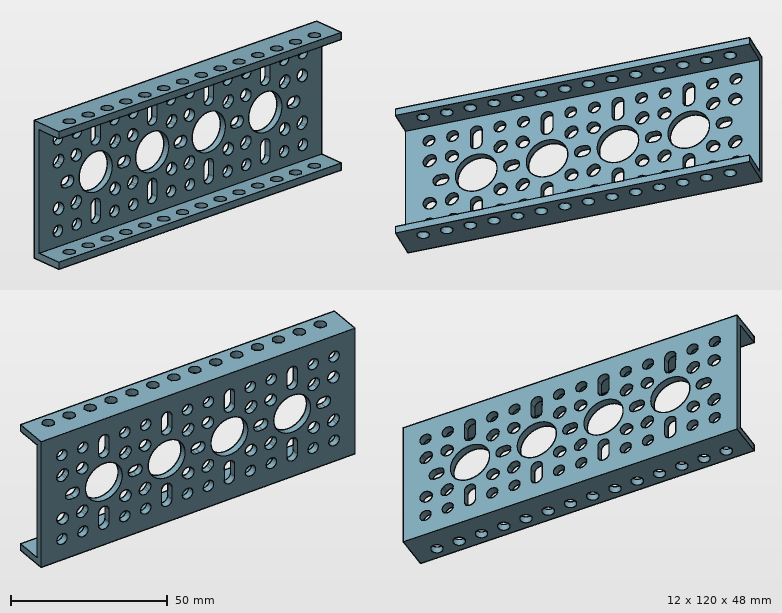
import cadquery as cq
import math

length = 120.0
height = 48.0
depth = 12.0
wall = 2.5

grid_pitch = length / 15
hole_diameter = 4.0
bore_diameter = 14.0
bore_count = 4
flange_hole_count = 14
bore_pitch = 3 * grid_pitch
outer_row = 2 * grid_pitch

corner_circle_radius = grid_pitch * math.sqrt(2)
bolt_circle_offset = bore_pitch / 2 / math.sqrt(2)

bore_positions = [(i - (bore_count - 1) / 2) * bore_pitch for i in range(bore_count)]
gap_positions = [(i - bore_count / 2) * bore_pitch for i in range(bore_count + 1)]
flange_hole_positions = [(i - (flange_hole_count - 1) / 2) * grid_pitch for i in range(flange_hole_count)]


def web_cylinder(y, z, diameter):
    """Cylinder along X that passes through the web."""
    return cq.Workplane("YZ").center(y, z).circle(diameter / 2).extrude(wall)


def web_slot(start, end):
    """Round-ended slot through the web between two (y, z) end centres."""
    run_y = end[0] - start[0]
    run_z = end[1] - start[1]
    distance = math.hypot(run_y, run_z)
    angle = math.degrees(math.atan2(run_z, run_y))
    return (
        cq.Workplane("YZ")
        .center((start[0] + end[0]) / 2, (start[1] + end[1]) / 2)
        .slot2D(distance + hole_diameter, hole_diameter, angle)
        .extrude(wall)
    )


def channel():
    """Plain U-shaped profile centred on Y and Z, web outer face at X = 0."""
    outside = cq.Workplane("XY").box(depth, length, height, centered=(False, True, True))
    inside = (
        cq.Workplane("XY")
        .box(depth - wall, length, height - 2 * wall, centered=(False, True, True))
        .translate((wall, 0, 0))
    )
    return outside.cut(inside)


def bore_cutters():
    """Large bores, each with a vertical slot above and below."""
    cutters = []
    for y in bore_positions:
        cutters.append(web_cylinder(y, 0, bore_diameter))
        for side in (-1, 1):
            cutters.append(web_slot((y, side * corner_circle_radius), (y, side * outer_row)))
    return cutters


def gap_cutters():
    """Short horizontal slots midway between bores and beyond the end bores."""
    reach = corner_circle_radius - bore_pitch / 2
    return [web_slot((y - reach, 0), (y + reach, 0)) for y in gap_positions]


def corner_cutters():
    """Round holes in the outer rows and short diagonal slots in the inner rows."""
    cutters = []
    for gap in gap_positions:
        for side_y in (-1, 1):
            grid_y = gap + side_y * grid_pitch / 2
            slot_y = gap + side_y * (bore_pitch / 2 - bolt_circle_offset)
            for side_z in (-1, 1):
                cutters.append(web_cylinder(grid_y, side_z * outer_row, hole_diameter))
                grid_corner = (grid_y, side_z * grid_pitch)
                circle_corner = (slot_y, side_z * bolt_circle_offset)
                cutters.append(web_slot(grid_corner, circle_corner))
    return cutters


def flange_hole_cutters():
    """One row of holes along Y, passing through both flanges."""
    return (
        cq.Workplane("XY", origin=(0, 0, -height / 2))
        .pushPoints([(grid_pitch, y) for y in flange_hole_positions])
        .circle(hole_diameter / 2)
        .extrude(height)
    )


result = channel().cut(flange_hole_cutters())
for cutter in bore_cutters() + gap_cutters() + corner_cutters():
    result = result.cut(cutter)